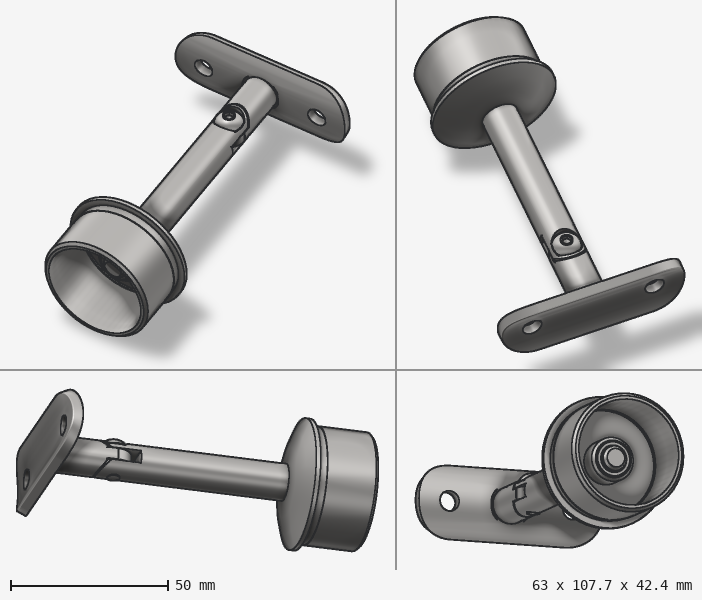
import cadquery as cq
import math


flange_radius = 42.4 / 2
sleeve_radius = 38.3 / 2
relief_radius = 37.9 / 2
bore_radius = 34.2 / 2
sleeve_length = 20.0
relief_length = 2.9
flange_thickness = 1.5
dome_radius = 48.0
rim_chamfer = 1.0
floor_recess_radius = 33.6 / 2
floor_recess_depth = 0.8
boss_radius = 14.2 / 2
boss_top_y = 13.0

stud_radius = 8.0 / 2
stud_chamfer = 1.0
stud_end_y = 11.0
stud_depth_in_stem = 10.0

rod_radius = 12.0 / 2
stem_end_chamfer = 0.5
stem_hole_chamfer = 0.4
joint_y = 82.55
fork_gap = 4.3
fork_depth = 7.6
tongue_thickness = 3.8
tongue_end_radius = 5.7
knuckle_seat_radius = 13.0 / 2

head_radius = 9.5 / 2
head_flat_radius = 4.02 / 2
head_top_z = 6.8
head_height = 2.75
head_edge_height = 0.2
head_pocket_radius = 10.0 / 2
shank_radius = 4.2 / 2
shank_end_z = -rod_radius
socket_width = 2.9
socket_depth = 1.5
socket_point_depth = 0.6

plate_length = 63.0
plate_width = 24.0
plate_inner_radius = 42.4 / 2
plate_thickness = 3.5
plate_rim_fillet = 0.5
plate_apex_y = 101.66
plate_hole_diameter = 6.5
plate_hole_spacing = 42.0
rod_seat_radius = 13.5 / 2
rod_seat_depth = 0.5

plate_outer_radius = plate_inner_radius + plate_thickness
plate_half_angle = math.asin(plate_width / 2 / plate_outer_radius)
bend_axis_y = plate_apex_y + plate_outer_radius
rod_end_y = bend_axis_y - math.sqrt(plate_outer_radius**2 - rod_radius**2)

flange_front_y = sleeve_length + flange_thickness
dome_center_y = flange_front_y - math.sqrt(dome_radius**2 - flange_radius**2)
cap_top_y = dome_center_y + math.sqrt(dome_radius**2 - rod_radius**2)


def rod(radius, start_y, end_y):
    """Round bar on the Y axis."""
    return cq.Workplane("XZ", origin=(0, start_y, 0)).circle(radius).extrude(start_y - end_y)


def pin(radius, bottom_z, top_z):
    """Round bar on the joint axis."""
    return cq.Workplane("XY", origin=(0, joint_y, bottom_z)).circle(radius).extrude(top_z - bottom_z)


def slab(thickness, start_y, end_y):
    """Flat block across the full rod width, centred on Z = 0."""
    length = end_y - start_y
    center = (0, start_y + length / 2, 0)
    return cq.Workplane("XY", origin=center).box(2 * rod_radius, length, thickness)


def make_cap():
    dome_mid_radius = (flange_radius + rod_radius) / 2
    dome_mid_y = dome_center_y + math.sqrt(dome_radius**2 - dome_mid_radius**2)
    boss_chamfer = boss_radius - rod_radius
    floor_y = sleeve_length + floor_recess_depth
    outline = (
        cq.Workplane("XY")
        .moveTo(bore_radius, 0)
        .lineTo(sleeve_radius - rim_chamfer, 0)
        .lineTo(sleeve_radius, rim_chamfer)
        .lineTo(sleeve_radius, sleeve_length - relief_length)
        .lineTo(relief_radius, sleeve_length - relief_length)
        .lineTo(relief_radius, sleeve_length)
        .lineTo(flange_radius, sleeve_length)
        .lineTo(flange_radius, flange_front_y)
        .threePointArc((dome_mid_radius, dome_mid_y), (rod_radius, cap_top_y))
        .lineTo(rod_radius, boss_top_y)
        .lineTo(boss_radius, boss_top_y + boss_chamfer)
        .lineTo(boss_radius, floor_y)
        .lineTo(floor_recess_radius, floor_y)
        .lineTo(floor_recess_radius, sleeve_length)
        .lineTo(bore_radius, sleeve_length)
        .close()
    )
    return outline.revolve(360, (0, 0, 0), (0, 1, 0))


def make_stud():
    stud = rod(stud_radius, stud_end_y, boss_top_y + stud_depth_in_stem)
    return stud.faces("<Y").chamfer(stud_chamfer)


def make_stem():
    stem = rod(rod_radius, boss_top_y, joint_y).faces("<Y").chamfer(stem_end_chamfer)
    stud_hole = rod(stud_radius, boss_top_y, boss_top_y + stud_depth_in_stem)
    stem = stem.cut(stud_hole)
    hole_rim = stem.faces("<Y").edges(cq.selectors.RadiusNthSelector(0))
    stem = hole_rim.chamfer(stem_hole_chamfer)

    fork_end = rod(rod_radius, joint_y, joint_y + rod_radius)
    stem = stem.union(fork_end.intersect(pin(rod_radius, -rod_radius, rod_radius)))
    stem = stem.cut(slab(fork_gap, joint_y - fork_depth, joint_y + rod_radius))

    stem = stem.cut(pin(shank_radius, -rod_radius, rod_radius))
    return stem.cut(pin(head_pocket_radius, head_top_z - head_height, head_top_z))


def make_knuckle():
    knuckle = rod(rod_radius, joint_y, rod_end_y)
    seat_height = rod_radius - tongue_thickness / 2
    for bottom_z in (-rod_radius, tongue_thickness / 2):
        knuckle = knuckle.cut(pin(knuckle_seat_radius, bottom_z, bottom_z + seat_height))
    tongue_end = pin(tongue_end_radius, -tongue_thickness / 2, tongue_thickness / 2)
    tongue_end = tongue_end.intersect(rod(rod_radius, joint_y - rod_radius, joint_y + rod_radius))
    knuckle = knuckle.union(tongue_end)
    return knuckle.cut(pin(shank_radius, -rod_radius, rod_radius))


def make_screw():
    head_bottom_z = head_top_z - head_height
    dome_bottom_z = head_bottom_z + head_edge_height
    dome_center_z = (
        head_top_z**2 + head_flat_radius**2 - dome_bottom_z**2 - head_radius**2
    ) / (2 * (head_top_z - dome_bottom_z))
    dome_arc_radius = math.hypot(head_radius, dome_bottom_z - dome_center_z)
    mid_radius = (head_radius + head_flat_radius) / 2
    mid_z = dome_center_z + math.sqrt(dome_arc_radius**2 - mid_radius**2)
    screw = (
        cq.Workplane("XZ", origin=(0, joint_y, 0))
        .moveTo(0, shank_end_z)
        .lineTo(shank_radius, shank_end_z)
        .lineTo(shank_radius, head_bottom_z)
        .lineTo(head_radius, head_bottom_z)
        .lineTo(head_radius, dome_bottom_z)
        .threePointArc((mid_radius, mid_z), (head_flat_radius, head_top_z))
        .lineTo(0, head_top_z)
        .close()
        .revolve(360, (0, 0, 0), (0, 1, 0))
    )
    across_corners = socket_width / math.cos(math.pi / 6)
    socket = (
        cq.Workplane("XY", origin=(0, joint_y, head_top_z))
        .polygon(6, across_corners)
        .extrude(-socket_depth)
    )
    socket_point = cq.Workplane(
        cq.Solid.makeCone(
            socket_width / 2,
            0,
            socket_point_depth,
            pnt=cq.Vector(0, joint_y, head_top_z - socket_depth),
            dir=cq.Vector(0, 0, -1),
        )
    )
    return screw.cut(socket).cut(socket_point)


def plate_outline(distance):
    """Slot outline with elliptical ends, on the plane at this distance from the bend axis."""
    end_length = plate_width / 2
    end_x = plate_length / 2 - end_length
    half_height = distance * math.tan(plate_half_angle)
    outline = (
        cq.Workplane("XZ", origin=(0, bend_axis_y - distance, 0))
        .moveTo(-end_x, half_height)
        .lineTo(end_x, half_height)
        .ellipseArc(end_length, half_height, -90, 90, startAtCurrent=True, sense=-1)
        .lineTo(-end_x, -half_height)
        .ellipseArc(end_length, half_height, 90, 270, startAtCurrent=True, sense=-1)
    )
    return outline.wire().val()


def make_plate():
    start_distance = plate_inner_radius * math.cos(plate_half_angle)
    blank = cq.Workplane(
        cq.Solid.makeLoft([plate_outline(start_distance), plate_outline(plate_outer_radius)], True)
    )
    ring = (
        cq.Workplane("YZ", origin=(-plate_length / 2, bend_axis_y, 0))
        .circle(plate_outer_radius)
        .circle(plate_inner_radius)
        .extrude(plate_length)
    )
    plate = ring.intersect(blank)
    concave_middle = (0, plate_apex_y + plate_thickness, 0)
    concave_face = plate.faces(cq.selectors.NearestToPointSelector(concave_middle))
    plate = concave_face.edges().fillet(plate_rim_fillet)
    for side in (-1, 1):
        screw_hole = rod(plate_hole_diameter / 2, plate_apex_y, bend_axis_y)
        plate = plate.cut(screw_hole.translate((side * plate_hole_spacing / 2, 0, 0)))
    plate = plate.cut(rod(rod_seat_radius, plate_apex_y, plate_apex_y + rod_seat_depth))
    return plate.cut(rod(rod_radius, plate_apex_y, rod_end_y))


cap = make_cap()
stud = make_stud()
stem = make_stem()
knuckle = make_knuckle()
screw = make_screw()
plate = make_plate()

result = cq.Compound.makeCompound(
    [cap.val(), stud.val(), stem.val(), knuckle.val(), screw.val(), plate.val()]
)